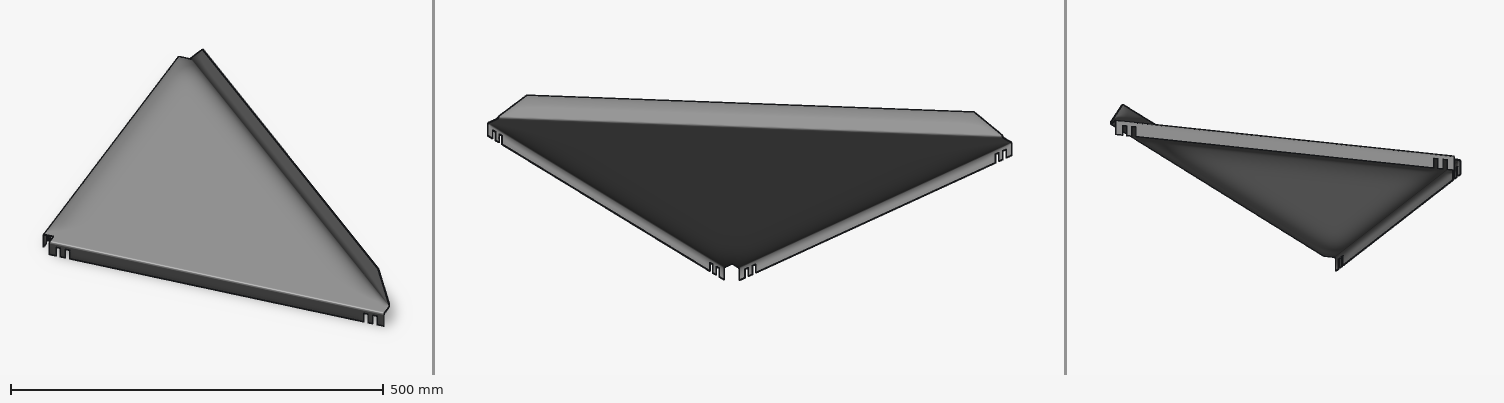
import cadquery as cq
import math

side = 499.83
skirt_height = 20.4
total_height = 57.76

thickness = 1.5
inner_radius = 1.5
outer_radius = inner_radius + thickness

corner_notch = 15.3
end_width = 21.0

slot_width = 6.0
slot_height = 13.5
slot_insets = [10.0, 23.2]

upstand_height = total_height - skirt_height
diagonal_sum = side + end_width
half_length = (side - end_width) / math.sqrt(2)


def make_panel():
    """Flat triangular panel, stopping where each bend begins."""
    bend_sum = diagonal_sum - outer_radius * math.sqrt(2)
    outline = [
        (outer_radius, corner_notch),
        (corner_notch, corner_notch),
        (corner_notch, outer_radius),
        (side, outer_radius),
        (side, bend_sum - side),
        (bend_sum - side, side),
        (outer_radius, side),
    ]
    panel = cq.Workplane("XY").workplane(offset=skirt_height - thickness)
    return panel.polyline(outline).close().extrude(thickness)


def bent_flange(plane, height, length):
    """Quarter bend and straight flange; local x runs into the panel, local y along the flange."""
    bend = math.sqrt(0.5)
    outer_mid = outer_radius * (1 - bend)
    inner_mid = outer_radius - inner_radius * bend
    return (
        cq.Workplane(plane)
        .moveTo(outer_radius, 0)
        .threePointArc((outer_mid, outer_mid), (0, outer_radius))
        .lineTo(0, height)
        .lineTo(thickness, height)
        .lineTo(thickness, outer_radius)
        .threePointArc((inner_mid, inner_mid), (outer_radius, thickness))
        .close()
        .extrude(length)
    )


def make_skirt():
    """Slotted skirt hanging from the panel edge at y = 0."""
    plane = cq.Plane(origin=(side, 0, skirt_height), xDir=(0, 1, 0), normal=(-1, 0, 0))
    skirt = bent_flange(plane, skirt_height, side - corner_notch)
    slot = cq.Workplane("XY").box(slot_width, outer_radius, slot_height, centered=False)
    for inset in slot_insets:
        for start in (corner_notch + inset, side - inset - slot_width):
            skirt = skirt.cut(slot.translate((start, 0, 0)))
    return skirt


def make_upstand():
    """Upstand rising from the long side, with its ends sloping inwards."""
    middle = diagonal_sum / 2
    base_half = half_length + outer_radius
    along = cq.Vector(-1, 1, 0).normalized()
    bottom = skirt_height - thickness
    start = cq.Vector(middle, middle, bottom) - along * base_half
    plane = cq.Plane(origin=start, xDir=(-1, -1, 0), normal=along)
    upstand = bent_flange(plane, upstand_height + thickness, 2 * base_half)

    envelope = cq.Workplane("XY").box(side, side, total_height, centered=False)

    top_half = half_length - upstand_height
    elevation = (
        cq.Workplane(cq.Plane(origin=(middle, middle, 0), xDir=along, normal=(1, 1, 0)))
        .polyline([
            (-base_half, bottom),
            (base_half, bottom),
            (base_half, skirt_height),
            (top_half, total_height),
            (-top_half, total_height),
            (-base_half, skirt_height),
        ])
        .close()
        .extrude(-outer_radius)
    )
    return upstand.intersect(envelope).intersect(elevation)


front_skirt = make_skirt()
left_skirt = front_skirt.rotate((0, 0, 0), (0, 0, 1), 90).mirror("YZ")

result = make_panel().union(front_skirt).union(left_skirt).union(make_upstand())